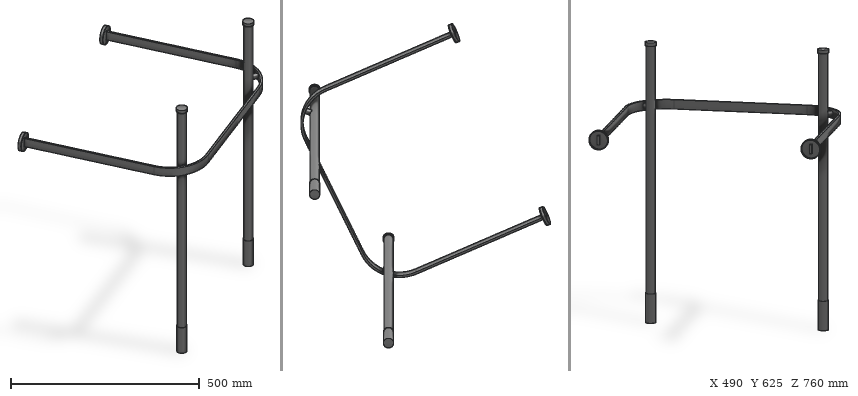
import cadquery as cq
import math

TOTAL_DEPTH = 490.0
TOTAL_WIDTH = 625.0
TOTAL_HEIGHT = 760.0

FLANGE_DIAMETER = 52.0
FLANGE_BORE = 49.5
FLANGE_DEPTH = 10.0
FLANGE_WEB = 2.0

RAIL_HEIGHT = 25.0
RAIL_THICKNESS = 6.0
RAIL_BOTTOM = 570.0
RAIL_LEVEL = RAIL_BOTTOM + RAIL_HEIGHT / 2
RAIL_START = 0
CORNER_RADIUS = 110.0
HALF_FLANGE_SPACING = (TOTAL_WIDTH - FLANGE_DIAMETER) / 2
RAIL_HALF_WIDTH = HALF_FLANGE_SPACING + RAIL_THICKNESS / 2
CORNER_X = TOTAL_DEPTH - CORNER_RADIUS
CORNER_Y = RAIL_HALF_WIDTH - CORNER_RADIUS

POST_DIAMETER = 25.0
CAP_DIAMETER = 30.0
CAP_HEIGHT = 10.0
FOOT_DIAMETER = 27.0
FOOT_HEIGHT = 80.0
POST_X = 436.0
POST_SPACING = 466.0
POST_Y = POST_SPACING / 2

CONNECTOR_DIAMETER = 15.0

SIDES = (-1, 1)


def u_profile(half_width, end_x, radius):
    """Closed U outline, from the rail start to end_x, with rounded far corners."""
    return (
        cq.Workplane("XY", origin=(0, 0, RAIL_BOTTOM))
        .moveTo(RAIL_START, -half_width)
        .lineTo(end_x - radius, -half_width)
        .radiusArc((end_x, radius - half_width), -radius)
        .lineTo(end_x, half_width - radius)
        .radiusArc((end_x - radius, half_width), -radius)
        .lineTo(RAIL_START, half_width)
        .close()
        .extrude(RAIL_HEIGHT)
    )


def make_rail():
    outer = u_profile(RAIL_HALF_WIDTH, TOTAL_DEPTH, CORNER_RADIUS)
    inner = u_profile(
        RAIL_HALF_WIDTH - RAIL_THICKNESS,
        TOTAL_DEPTH - RAIL_THICKNESS,
        CORNER_RADIUS - RAIL_THICKNESS,
    )
    return outer.cut(inner)


def make_flange(side):
    """Wall cup with a slot through its web for the rail end."""
    plane = cq.Workplane("YZ", origin=(0, side * HALF_FLANGE_SPACING, RAIL_LEVEL))
    cup = plane.circle(FLANGE_DIAMETER / 2).extrude(FLANGE_DEPTH)
    hollow = plane.circle(FLANGE_BORE / 2).extrude(FLANGE_DEPTH - FLANGE_WEB)
    slot = plane.rect(RAIL_THICKNESS, RAIL_HEIGHT).extrude(FLANGE_DEPTH)
    return cup.cut(hollow).cut(slot)


def make_post(side):
    """Round post with its cap and foot."""
    base = cq.Workplane("XY", origin=(POST_X, side * POST_Y, 0))
    shaft = base.circle(POST_DIAMETER / 2).extrude(TOTAL_HEIGHT)
    foot = base.circle(FOOT_DIAMETER / 2).extrude(FOOT_HEIGHT)
    cap = (
        base.workplane(offset=TOTAL_HEIGHT - CAP_HEIGHT)
        .circle(CAP_DIAMETER / 2)
        .extrude(CAP_HEIGHT)
    )
    return shaft.union(foot).union(cap)


def make_connector(side, post):
    """Pin from the post surface to the inner face of the rail corner."""
    start = cq.Vector(POST_X, side * POST_Y, RAIL_LEVEL)
    direction = cq.Vector(1, side, 0)
    reach = CORNER_RADIUS - math.hypot(POST_X - CORNER_X, POST_Y - CORNER_Y)
    pin = cq.Workplane(cq.Solid.makeCylinder(CONNECTOR_DIAMETER / 2, reach, start, direction))
    corner_inside = (
        cq.Workplane("XY", origin=(CORNER_X, side * CORNER_Y, 0))
        .circle(CORNER_RADIUS - RAIL_THICKNESS)
        .extrude(TOTAL_HEIGHT)
    )
    return pin.intersect(corner_inside).cut(post)


rail = make_rail()
flanges = [make_flange(side) for side in SIDES]
posts = [make_post(side) for side in SIDES]
connectors = [make_connector(side, post) for side, post in zip(SIDES, posts)]

bodies = [rail, *flanges, *posts, *connectors]
result = cq.Compound.makeCompound([body.val() for body in bodies])